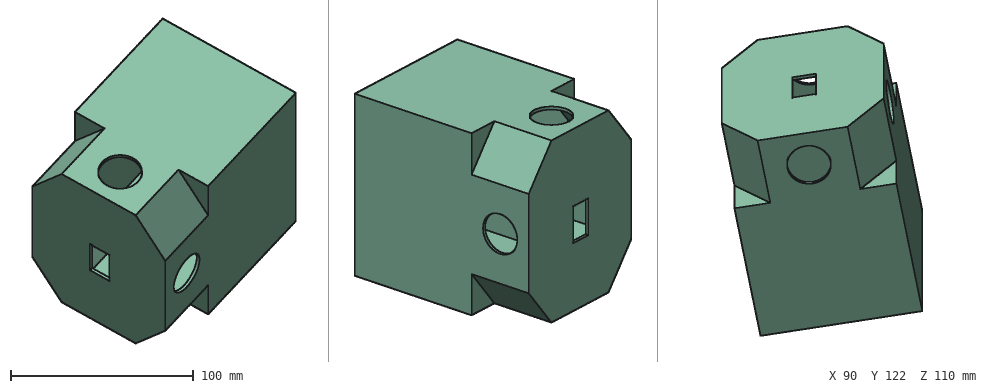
import cadquery as cq

width = 90.0
length = 122.0
height = 110.0
wall = 2.0

cut_x = 20.0
cut_z = 25.0
cut_length = 40.0

hole_diameter = 24.0
hole_setback = 20.0
slot_width = 13.2
slot_height = 22.2
slot_x = 0.7
slot_z = -2.8

front_y = -length / 2
hole_y = front_y + hole_setback


def corner_cut(side_x, side_z):
    """Triangular prism removed from one front corner."""
    corner_x = side_x * width / 2
    corner_z = side_z * height / 2
    return (
        cq.Workplane("XZ", origin=(0, front_y + cut_length, 0))
        .moveTo(corner_x, corner_z)
        .lineTo(corner_x - side_x * cut_x, corner_z)
        .lineTo(corner_x, corner_z - side_z * cut_z)
        .close()
        .extrude(cut_length)
    )


body = cq.Workplane("XY").box(width, length, height)
for side_x in (-1, 1):
    for side_z in (-1, 1):
        body = body.cut(corner_cut(side_x, side_z))

body = body.faces(">Y").shell(-wall, kind="intersection")

vertical_hole = cq.Workplane("XY").center(0, hole_y).circle(hole_diameter / 2).extrude(height, both=True)
cross_hole = cq.Workplane("YZ").center(hole_y, 0).circle(hole_diameter / 2).extrude(width, both=True)

slot = cq.Workplane("XY").box(slot_width, 2 * wall, slot_height).translate((slot_x, front_y, slot_z))

result = body.cut(vertical_hole).cut(cross_hole).cut(slot)